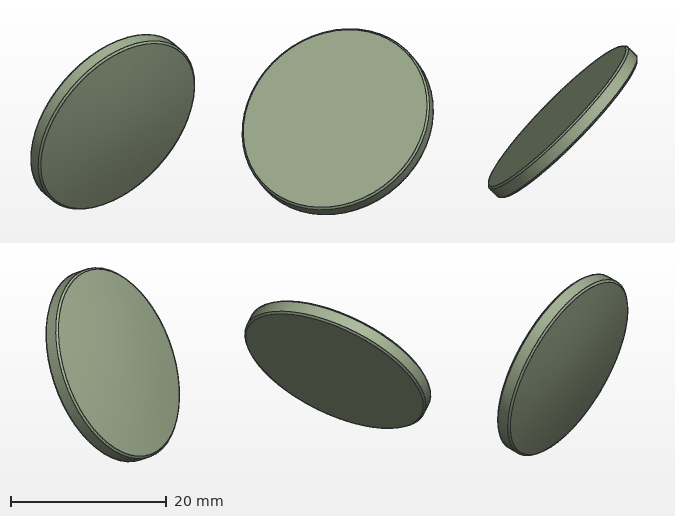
import cadquery as cq

diameter = 25.4
center_thickness = 3.0
dome_height = 0.95
bevel = 0.25

rim_radius = diameter / 2
face_radius = rim_radius - bevel
dome_start = center_thickness - dome_height

sphere_radius = (face_radius**2 + dome_height**2) / (2 * dome_height)

mid_radius = face_radius / 2
sphere_center = center_thickness - sphere_radius
mid_dome = sphere_center + (sphere_radius**2 - mid_radius**2) ** 0.5

half_section = (
    cq.Workplane("XZ")
    .moveTo(0, 0)
    .lineTo(0, face_radius)
    .lineTo(bevel, rim_radius)
    .lineTo(dome_start - bevel, rim_radius)
    .lineTo(dome_start, face_radius)
    .threePointArc((mid_dome, mid_radius), (center_thickness, 0))
    .close()
)

result = half_section.revolve(360, (0, 0, 0), (1, 0, 0))